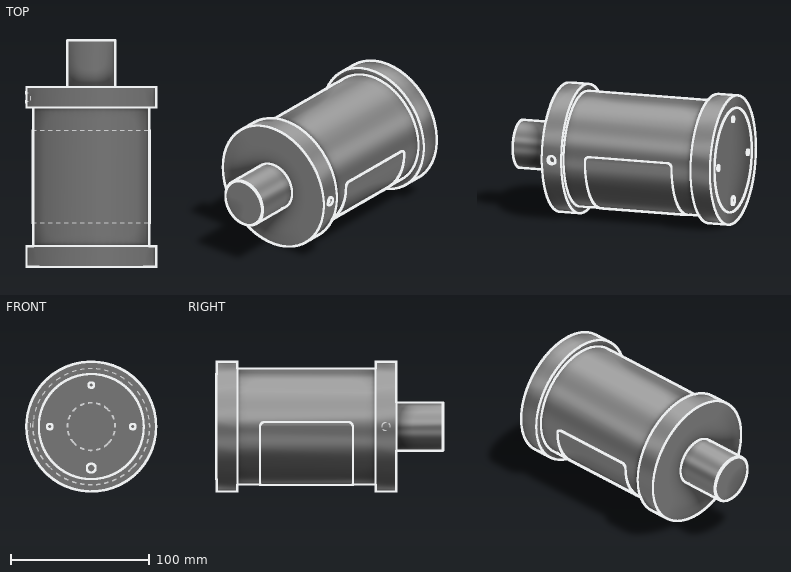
import cadquery as cq
cap_diameter = 94.0
cap_thickness = 15.0
tube_diameter = 84.0
tube_length = 100.0
shaft_diameter = 35.0
shaft_length = 34.0
shaft_chamfer = 0.5
label_thickness = 0.3

side_hole_diameter = 6.0
side_hole_depth = 3.0

face_label_diameter = 76.0
window_circle_radius = 30.0
small_window_diameter = 4.0
large_window_diameter = 6.5

wrap_label_length = 67.0
wrap_label_rise = 3.3
wrap_label_corner = 3.3

tube_start = cap_thickness
tube_middle = tube_start + tube_length / 2
rear_cap_start = tube_start + tube_length
shaft_start = rear_cap_start + cap_thickness


def cylinder_along_y(diameter, start, length):
    """Cylinder on the Y axis that runs from Y = start towards +Y."""
    plane = cq.Workplane("XZ", origin=(0, start, 0))
    return plane.circle(diameter / 2).extrude(-length)


def make_front_cap():
    return cylinder_along_y(cap_diameter, 0, cap_thickness)


def make_tube():
    return cylinder_along_y(tube_diameter, tube_start, tube_length)


def make_rear_cap():
    """Rear cap with a shallow blind hole in its -X side."""
    cap = cylinder_along_y(cap_diameter, rear_cap_start, cap_thickness)
    hole_middle = rear_cap_start + cap_thickness / 2
    hole = (
        cq.Workplane("YZ", origin=(-cap_diameter / 2, hole_middle, 0))
        .circle(side_hole_diameter / 2)
        .extrude(side_hole_depth)
    )
    return cap.cut(hole)


def make_shaft():
    shaft = cylinder_along_y(shaft_diameter, shaft_start, shaft_length)
    return shaft.faces(">Y").chamfer(shaft_chamfer)


def make_face_label():
    """Thin disc with three small windows and a large one at the bottom."""
    label = cylinder_along_y(face_label_diameter, -label_thickness, label_thickness)
    small_windows = (
        cq.Workplane("XZ")
        .pushPoints([(-window_circle_radius, 0), (window_circle_radius, 0), (0, window_circle_radius)])
        .circle(small_window_diameter / 2)
        .extrude(label_thickness)
    )
    large_window = (
        cq.Workplane("XZ")
        .center(0, -window_circle_radius)
        .circle(large_window_diameter / 2)
        .extrude(label_thickness)
    )
    return label.cut(small_windows).cut(large_window)


def make_wrap_label():
    """Thin sleeve segment under the tube, with its four upper corners rounded."""
    outer_diameter = tube_diameter + 2 * label_thickness
    start = tube_middle - wrap_label_length / 2
    sleeve = cylinder_along_y(outer_diameter, start, wrap_label_length)
    sleeve = sleeve.cut(cylinder_along_y(tube_diameter, start, wrap_label_length))

    profile_height = wrap_label_rise + outer_diameter
    profile = (
        cq.Workplane("YZ", origin=(0, tube_middle, wrap_label_rise - profile_height / 2))
        .rect(wrap_label_length, profile_height)
        .extrude(outer_diameter, both=True)
        .edges("|X and >Z")
        .fillet(wrap_label_corner)
    )
    return sleeve.intersect(profile)


front_cap = make_front_cap()
tube = make_tube()
rear_cap = make_rear_cap()
shaft = make_shaft()
face_label = make_face_label()
wrap_label = make_wrap_label()

result = cq.Compound.makeCompound(
    [
        front_cap.val(),
        tube.val(),
        rear_cap.val(),
        shaft.val(),
        face_label.val(),
        wrap_label.val(),
    ]
)